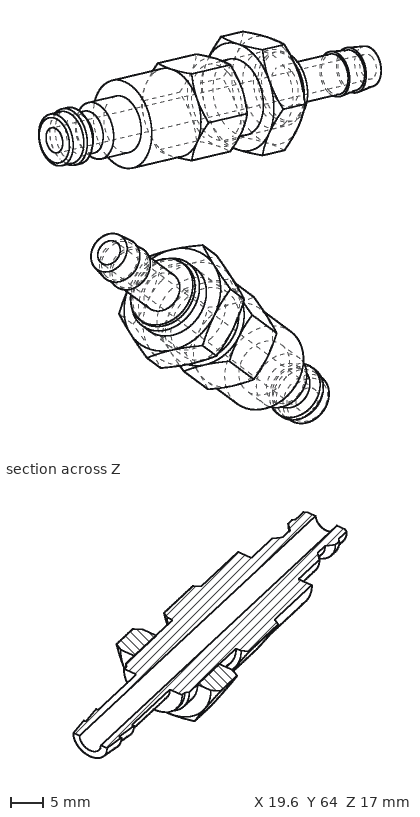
import cadquery as cq
import math

total_length = 64.0
bore_radius = 2.0

tip_chamfer_length = 0.3
tip_chamfer_depth = 0.5
tip_radius = 4.1
tip_end = 2.5
collar_radius = 4.5
collar_start = 2.9
collar_end = 4.0
groove_radius = 3.3
groove_taper = collar_radius - groove_radius
groove_start = collar_end + groove_taper
shank_start = 8.25
groove_end = shank_start - groove_taper

sleeve_radius = 7.0
sleeve_start = 13.9
hex_start = 23.95
hex_end = 33.1
hex_across_flats = 2 * sleeve_radius

stem_radius = 6.0
neck_radius = 5.5
neck_taper = stem_radius - neck_radius
stem_end = 45.75
neck_start = stem_end + neck_taper
neck_end = 47.0

tail_radius = 3.2
barb_radius = 3.6
barb_length = 3.4
barb_count = 2
first_barb_start = total_length - barb_count * barb_length

nut_across_flats = 17.0
nut_start = 37.5
nut_thickness = 6.0

hex_chamfer_angle = math.radians(30)


def revolve_about_y(outline):
    """Revolve a closed outline of (radius, station) points about the Y axis."""
    return cq.Workplane("XY").polyline(outline).close().revolve(360, (0, 0, 0), (0, 1, 0))


def chamfered_hexagon(across_flats, start, thickness):
    """Hexagonal prism along Y, corners on X, with both ends coned down to the flats."""
    flat_radius = across_flats / 2
    corner_radius = flat_radius / math.cos(math.pi / 6)
    chamfer_length = (corner_radius - flat_radius) * math.tan(hex_chamfer_angle)
    end = start + thickness
    prism = (
        cq.Workplane("XZ", origin=(0, start, 0))
        .polygon(6, 2 * corner_radius)
        .extrude(-thickness)
    )
    envelope = revolve_about_y([
        (0, start),
        (flat_radius, start),
        (corner_radius, start + chamfer_length),
        (corner_radius, end - chamfer_length),
        (flat_radius, end),
        (0, end),
    ])
    return prism.intersect(envelope)


def bored(solid, radius):
    """Cut a round hole along the whole Y axis."""
    return solid.cut(cq.Workplane("XZ").circle(radius).extrude(-total_length))


def make_coupling():
    """Turned plug, sleeve, stem and barbed tail with the wrench hexagon."""
    outline = [
        (0, 0),
        (tip_radius - tip_chamfer_depth, 0),
        (tip_radius, tip_chamfer_length),
        (tip_radius, tip_end),
        (collar_radius, collar_start),
        (collar_radius, collar_end),
        (groove_radius, groove_start),
        (groove_radius, groove_end),
        (collar_radius, shank_start),
        (collar_radius, sleeve_start),
        (sleeve_radius, sleeve_start),
        (sleeve_radius, hex_start),
        (stem_radius, hex_start),
        (stem_radius, stem_end),
        (neck_radius, neck_start),
        (neck_radius, neck_end),
        (tail_radius, neck_end),
        (tail_radius, first_barb_start),
    ]
    for index in range(barb_count):
        barb_start = first_barb_start + index * barb_length
        outline.append((barb_radius, barb_start))
        outline.append((tail_radius, barb_start + barb_length))
    outline.append((0, total_length))
    wrench_hexagon = chamfered_hexagon(hex_across_flats, hex_start, hex_end - hex_start)
    return bored(revolve_about_y(outline).union(wrench_hexagon), bore_radius)


def make_lock_nut():
    """Hexagonal nut whose hole fits the stem."""
    return bored(chamfered_hexagon(nut_across_flats, nut_start, nut_thickness), stem_radius)


coupling = make_coupling()
lock_nut = make_lock_nut()

result = cq.Compound.makeCompound([coupling.val(), lock_nut.val()])